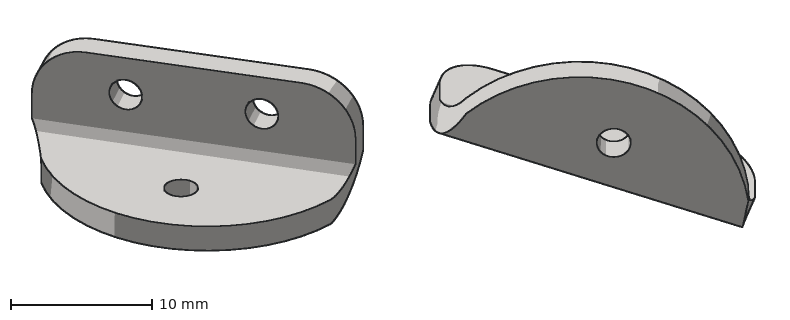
import cadquery as cq

length = 23.8
height = 10.0
depth = 10.45
thickness = 2.0

inner_radius = 2.0
outer_radius = inner_radius + thickness

corner_radius = 4.0
flange_half_width = 10.65

hole_diameter = 2.4
wall_hole_spacing = 10.0
wall_hole_drop = 3.0
flange_hole_setback = 5.3

half_length = length / 2
bend_y = -outer_radius
bend_z = outer_radius
bend_angle = 90.0


def make_wall():
    """Upright plate with rounded top corners and two holes."""
    wall_height = height - bend_z
    wall = (
        cq.Workplane("XY")
        .box(length, thickness, wall_height, centered=(True, False, False))
        .translate((0, -thickness, bend_z))
        .edges("|Y and >Z")
        .fillet(corner_radius)
    )
    hole_places = [(side * wall_hole_spacing / 2, height - wall_hole_drop) for side in (-1, 1)]
    holes = cq.Workplane("XZ").pushPoints(hole_places).circle(hole_diameter / 2).extrude(thickness)
    return wall.cut(holes)


def make_flange():
    """Horizontal plate with an arc-shaped front edge and one hole."""
    flange = (
        cq.Workplane("XY")
        .moveTo(-flange_half_width, bend_y)
        .threePointArc((0, -depth), (flange_half_width, bend_y))
        .close()
        .extrude(thickness)
    )
    hole = cq.Workplane("XY").center(0, -flange_hole_setback).circle(hole_diameter / 2).extrude(thickness)
    return flange.cut(hole)


def bend_profile(start_x, inner, outer):
    """Quarter ring around the bend axis, from straight down to straight back."""
    diagonal = 0.5 ** 0.5
    return (
        cq.Workplane("YZ", origin=(start_x, bend_y, bend_z))
        .moveTo(0, -inner)
        .lineTo(0, -outer)
        .threePointArc((outer * diagonal, -outer * diagonal), (outer, 0))
        .lineTo(inner, 0)
        .threePointArc((inner * diagonal, -inner * diagonal), (0, -inner))
        .close()
    )


def make_bend():
    """Bend whose ends widen evenly with the bend angle, as helical ramps."""
    flare = half_length - flange_half_width
    ring_margin = 0.95
    core = bend_profile(0, inner_radius, outer_radius).extrude(flange_half_width)
    quarter_ring = bend_profile(flange_half_width, inner_radius, outer_radius).extrude(flare)
    twisted_ring = bend_profile(
        flange_half_width, inner_radius - ring_margin, outer_radius + ring_margin
    ).twistExtrude(flare, bend_angle)
    half_bend = core.union(quarter_ring.intersect(twisted_ring))
    return half_bend.union(half_bend.mirror("YZ"))


result = make_wall().union(make_bend()).union(make_flange())